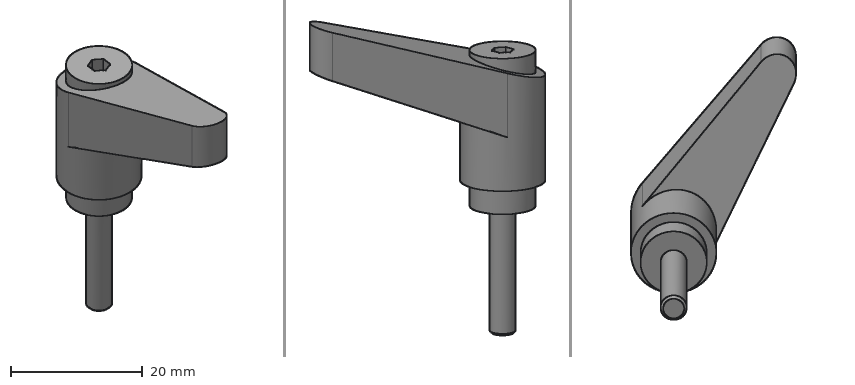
import cadquery as cq
import math

total_height = 50.5
total_length = 36.5
hub_diameter = 13.0
collar_diameter = 10.05
collar_height = 4.05
stud_diameter = 4.0
stud_length = 20.0
stud_chamfer = 0.4
cap_top = 44.5
tip_radius = 3.1
top_slope = math.radians(15.2)
underside_slope = math.radians(20)
tip_thickness = 7.35
socket_flats = 3.0
socket_depth = 4.0
socket_cone_slope = math.radians(30)

hub_radius = hub_diameter / 2
hub_bottom = stud_length + collar_height
arm_end = total_length - hub_radius
tip_center = arm_end - tip_radius
hub_top_low = total_height - total_length * math.tan(top_slope)

tangent_sin = (hub_radius - tip_radius) / tip_center
tangent_cos = math.sqrt(1 - tangent_sin**2)
hub_tangent = (hub_radius * tangent_sin, hub_radius * tangent_cos)
tip_tangent = (tip_center + tip_radius * tangent_sin, tip_radius * tangent_cos)
underside_start = (
    total_height - tip_thickness - (arm_end - hub_tangent[0]) * math.tan(underside_slope)
)


def cylinder(diameter, bottom, top):
    return cq.Workplane("XY").workplane(offset=bottom).circle(diameter / 2).extrude(top - bottom)


def side_prism(points):
    """Extrude an XZ outline across the full width of the hub."""
    return cq.Workplane("XZ").polyline(points).close().extrude(hub_radius, both=True)


def make_hub():
    """Round hub with its top cut along the slope of the arm."""
    side_outline = [
        (-hub_radius, hub_bottom),
        (hub_radius, hub_bottom),
        (hub_radius, hub_top_low + hub_diameter * math.tan(top_slope)),
        (-hub_radius, hub_top_low),
    ]
    return cylinder(hub_diameter, hub_bottom, total_height).intersect(side_prism(side_outline))


def make_arm():
    """Rising arm that narrows in plan to a rounded tip."""
    plan = (
        cq.Workplane("XY")
        .moveTo(hub_tangent[0], -hub_tangent[1])
        .lineTo(tip_tangent[0], -tip_tangent[1])
        .threePointArc((arm_end, 0), tip_tangent)
        .lineTo(*hub_tangent)
        .close()
        .extrude(total_height)
    )
    side_outline = [
        (hub_tangent[0], underside_start),
        (arm_end, total_height - tip_thickness),
        (arm_end, total_height),
        (hub_tangent[0], total_height - (arm_end - hub_tangent[0]) * math.tan(top_slope)),
    ]
    return plan.intersect(side_prism(side_outline))


def make_socket():
    """Hexagonal socket in the cap, with a conical floor that meets its corners."""
    corner_radius = socket_flats / 2 / math.cos(math.pi / 6)
    cone_top = cap_top - socket_depth
    cone_tip = cone_top - corner_radius * math.tan(socket_cone_slope)
    hexagon = (
        cq.Workplane("XY")
        .workplane(offset=cone_tip)
        .polygon(6, 2 * corner_radius)
        .extrude(cap_top - cone_tip)
    )
    envelope_radius = hub_radius
    envelope_bottom = cone_tip + envelope_radius * math.tan(socket_cone_slope)
    envelope = (
        cq.Workplane("XZ")
        .polyline([(0, cone_tip), (envelope_radius, envelope_bottom), (envelope_radius, cap_top), (0, cap_top)])
        .close()
        .revolve(360, (0, 0), (0, 1))
    )
    return hexagon.intersect(envelope)


stud = cylinder(stud_diameter, 0, stud_length).faces("<Z").chamfer(stud_chamfer)
collar = cylinder(collar_diameter, stud_length, hub_bottom)
cap = cylinder(collar_diameter, hub_bottom, cap_top)

result = stud.union(collar).union(make_hub()).union(make_arm()).union(cap).cut(make_socket())